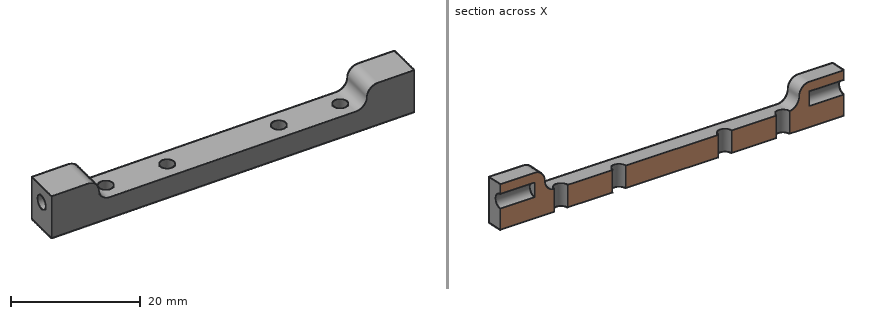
import cadquery as cq

length = 65.0
width = 6.0
end_height = 8.0
bar_height = end_height / 2

end_flat = 6.5
round_radius = bar_height / 2

hole_diameter = 2.5
inner_hole_spacing = 20.0
outer_hole_spacing = 42.0
end_hole_height = 5.0
end_hole_depth = 6.5


def make_body():
    """Extrude the side outline across the width."""
    half_length = length / 2
    flat_end = half_length - end_flat
    step = flat_end - round_radius
    bar_end = step - round_radius
    middle_height = bar_height + round_radius
    return (
        cq.Workplane("YZ")
        .moveTo(-half_length, 0)
        .lineTo(half_length, 0)
        .lineTo(half_length, end_height)
        .lineTo(flat_end, end_height)
        .radiusArc((step, middle_height), -round_radius)
        .radiusArc((bar_end, bar_height), round_radius)
        .lineTo(-bar_end, bar_height)
        .radiusArc((-step, middle_height), round_radius)
        .radiusArc((-flat_end, end_height), -round_radius)
        .lineTo(-half_length, end_height)
        .close()
        .extrude(width / 2, both=True)
    )


def make_vertical_holes():
    """Four through holes in mirrored pairs along the bar."""
    hole_places = [
        (0, side * spacing / 2)
        for spacing in (inner_hole_spacing, outer_hole_spacing)
        for side in (-1, 1)
    ]
    return (
        cq.Workplane("XY")
        .pushPoints(hole_places)
        .circle(hole_diameter / 2)
        .extrude(end_height)
    )


def make_end_hole(side):
    """Blind hole running inward from the end face on the given side of Y."""
    return (
        cq.Workplane("XZ", origin=(0, side * length / 2, end_hole_height))
        .circle(hole_diameter / 2)
        .extrude(side * end_hole_depth)
    )


result = make_body().cut(make_vertical_holes())
for side in (-1, 1):
    result = result.cut(make_end_hole(side))